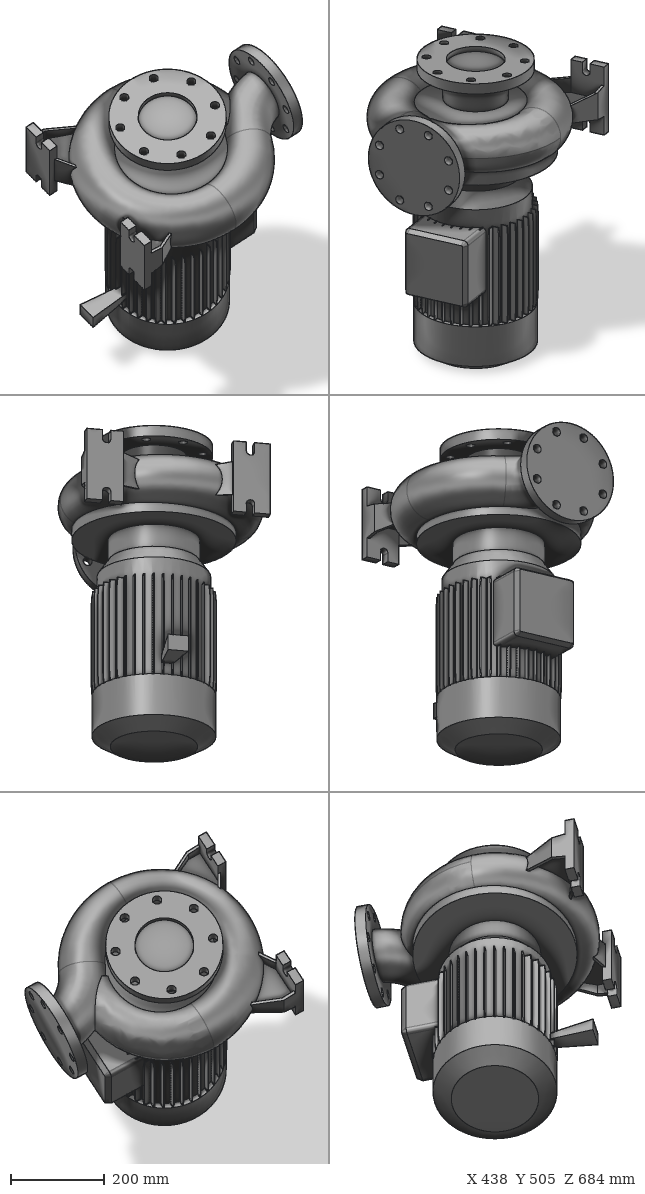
import cadquery as cq
import math


OVERALL_HEIGHT = 684.0

INLET_FACE_Z = 140.0
INLET_FLANGE_DIA = 250.0
INLET_BOLT_CIRCLE = 210.0
INLET_BORE_DIA = 125.0
INLET_BORE_DEPTH = 12.0
INLET_NECK_DIA = 140.0
FLANGE_THICKNESS = 24.0
BOLT_HOLE_DIA = 19.0
BOLT_COUNT = 8

OUTLET_FACE_Y = 280.0
OUTLET_FLANGE_DIA = 220.0
OUTLET_BOLT_CIRCLE = 180.0

TUBE_RADIUS = 57.0
COIL_CENTRE_X = 14.0
COIL_RADIUS = 162.0
TONGUE_TUBE_RADIUS = 47.0
TONGUE_REACH = 198.0
TONGUE_START_ANGLE = 180.0
TONGUE_END_ANGLE = 72.0
TONGUE_SECTIONS = 6

CASING_RADIUS = 175.0
CASING_BOTTOM_Z = -75.0
HUB_TOP_Z = 48.5
HUB_RIM_Z = 28.0

LANTERN_RADIUS = 98.0
LANTERN_BOTTOM_Z = -125.0
MOTOR_CORE_RADIUS = 121.0
CORE_TOP_Z = -158.0
FIN_TOP_Z = -199.0
FIN_BOTTOM_Z = -428.0
COWL_RADIUS = 132.0
COWL_CHAMFER_Z = -521.0
COWL_END_RADIUS = 93.0
MOTOR_BOTTOM_Z = INLET_FACE_Z - OVERALL_HEIGHT

FIN_THICKNESS = 2.0
FIN_CROWN = 1.5
FIN_TAPER_LENGTH = 22.0
FIN_PITCH_ANGLE = 9.0
FINS_PER_HALF_SIDE = 5

BOX_WIDTH = 150.0
BOX_TOP_Z = -200.0
BOX_HEIGHT = 156.0
BOX_OUTER_Y = 188.0
BOX_CORNER_RADIUS = 10.0
BOX_CHAMFER_DEPTH = 12.0
BOX_CHAMFER_INSET = 7.0

LEVER_Z = -389.0
LEVER_TIP_Y = -221.0
LEVER_ROOT_Y = -115.0
LEVER_TIP_SIZE = (44.0, 35.0)
LEVER_ROOT_SIZE = (24.0, 18.0)

FOOT_BOTTOM_Y = -225.0
FOOT_THICKNESS = 20.0
FOOT_OUTER_X = 201.0
FOOT_WIDTH = 80.5
FOOT_HEIGHT = 160.0
SLOT_X = 157.5
SLOT_WIDTH = 18.0
SLOT_DEPTH = 29.0

WALL_THICKNESS = 6.0
BRACKET_BASE_HALF_HEIGHT = 36.5
BRACKET_TAPER = 0.17
BRACKET_END_Y = -90.0
OUTER_WALL_BEND_Y = -176.0
OUTER_WALL_LEAN = 26.0
INNER_WALL_LEAN = 30.0
INNER_WALL_END_X = 60.0


def bolted_flange(plane, diameter, bolt_circle):
    """Flange growing from its outer face along the plane normal."""
    return (
        cq.Workplane(plane)
        .circle(diameter / 2)
        .polarArray(bolt_circle / 2, 180 / BOLT_COUNT, 360, BOLT_COUNT)
        .circle(BOLT_HOLE_DIA / 2)
        .extrude(FLANGE_THICKNESS)
    )


def inlet_flange():
    face = cq.Plane(origin=(0, 0, INLET_FACE_Z), xDir=(1, 0, 0), normal=(0, 0, -1))
    return bolted_flange(face, INLET_FLANGE_DIA, INLET_BOLT_CIRCLE)


def inlet_bore():
    floor_z = INLET_FACE_Z - INLET_BORE_DEPTH
    return cq.Workplane("XY", origin=(0, 0, floor_z)).circle(INLET_BORE_DIA / 2).extrude(INLET_BORE_DEPTH)


def outlet_flange():
    face = cq.Plane(origin=(0, OUTLET_FACE_Y, 0), xDir=(1, 0, 0), normal=(0, -1, 0))
    return bolted_flange(face, OUTLET_FLANGE_DIA, OUTLET_BOLT_CIRCLE)


def turned_body():
    """Neck, casing, lantern, motor core and cowl as one turned solid."""
    neck_radius = INLET_NECK_DIA / 2
    neck_top_z = INLET_FACE_Z - FLANGE_THICKNESS
    profile = [
        (0, neck_top_z),
        (neck_radius, neck_top_z),
        (neck_radius, HUB_TOP_Z),
        (CASING_RADIUS, HUB_RIM_Z),
        (CASING_RADIUS, CASING_BOTTOM_Z),
        (LANTERN_RADIUS, CASING_BOTTOM_Z),
        (LANTERN_RADIUS, LANTERN_BOTTOM_Z),
        (MOTOR_CORE_RADIUS, CORE_TOP_Z),
        (MOTOR_CORE_RADIUS, FIN_BOTTOM_Z),
        (COWL_RADIUS, FIN_BOTTOM_Z),
        (COWL_RADIUS, COWL_CHAMFER_Z),
        (COWL_END_RADIUS, MOTOR_BOTTOM_Z),
        (0, MOTOR_BOTTOM_Z),
    ]
    return cq.Workplane("XZ").polyline(profile).close().revolve(360, (0, 0), (0, 1))


def coil_point(angle):
    return (
        COIL_CENTRE_X + COIL_RADIUS * math.cos(angle),
        COIL_RADIUS * math.sin(angle),
    )


def volute_tube():
    """Constant tube: round the coil, then a reverse bend that meets the discharge flange squarely."""
    reach_difference = OUTLET_FACE_Y**2 + COIL_CENTRE_X**2 - COIL_RADIUS**2
    bend_radius = reach_difference / (2 * (COIL_RADIUS + COIL_CENTRE_X))
    bend_angle = math.asin(OUTLET_FACE_Y / (COIL_RADIUS + bend_radius))
    mid_direction = math.pi + bend_angle / 2
    bend_mid_point = (
        bend_radius + bend_radius * math.cos(mid_direction),
        OUTLET_FACE_Y + bend_radius * math.sin(mid_direction),
    )
    start = coil_point(math.pi)
    path = (
        cq.Workplane("XY")
        .moveTo(*start)
        .threePointArc(coil_point(1.5 * math.pi), coil_point(0))
        .threePointArc(coil_point(bend_angle / 2), coil_point(bend_angle))
        .threePointArc(bend_mid_point, (0, OUTLET_FACE_Y))
    )
    return cq.Workplane("XZ", origin=(start[0], start[1], 0)).circle(TUBE_RADIUS).sweep(path)


def volute_tongue():
    """Narrowing tube from the start of the coil round to the discharge bend."""
    start_reach = COIL_RADIUS + TUBE_RADIUS - COIL_CENTRE_X
    sections = []
    for index in range(TONGUE_SECTIONS):
        share = index / (TONGUE_SECTIONS - 1)
        angle = math.radians(TONGUE_START_ANGLE + share * (TONGUE_END_ANGLE - TONGUE_START_ANGLE))
        radius = TUBE_RADIUS + share * (TONGUE_TUBE_RADIUS - TUBE_RADIUS)
        centre_reach = start_reach + share * (TONGUE_REACH - start_reach) - radius
        centre = cq.Vector(centre_reach * math.cos(angle), centre_reach * math.sin(angle), 0)
        heading = cq.Vector(math.sin(angle), -math.cos(angle), 0)
        sections.append(cq.Wire.makeCircle(radius, centre, heading))
    return cq.Workplane(cq.Solid.makeLoft(sections))


def cooling_fins():
    """Parallel fins on four sides, tapering slightly at both ends."""
    height = FIN_TOP_Z - FIN_BOTTOM_Z
    crown_radius = COWL_RADIUS + FIN_CROWN
    profile = [
        (0, FIN_BOTTOM_Z),
        (COWL_RADIUS, FIN_BOTTOM_Z),
        (crown_radius, FIN_BOTTOM_Z + FIN_TAPER_LENGTH),
        (crown_radius, FIN_TOP_Z - FIN_TAPER_LENGTH),
        (COWL_RADIUS, FIN_TOP_Z),
        (0, FIN_TOP_Z),
    ]
    envelope = cq.Workplane("XZ").polyline(profile).close().revolve(360, (0, 0), (0, 1))
    offsets = []
    for index in range(FINS_PER_HALF_SIDE):
        offset = COWL_RADIUS * math.sin(math.radians((index + 0.5) * FIN_PITCH_ANGLE))
        offsets += [offset, -offset]
    base = cq.Workplane("XY", origin=(0, 0, FIN_BOTTOM_Z))
    along_y = base.pushPoints([(x, 0) for x in offsets]).rect(FIN_THICKNESS, 2 * crown_radius).extrude(height)
    along_x = base.pushPoints([(0, y) for y in offsets]).rect(2 * crown_radius, FIN_THICKNESS).extrude(height)
    return along_y.union(along_x).intersect(envelope)


def terminal_box():
    return (
        cq.Workplane("XY")
        .box(BOX_WIDTH, BOX_OUTER_Y, BOX_HEIGHT, centered=(True, False, False))
        .translate((0, 0, BOX_TOP_Z - BOX_HEIGHT))
        .edges("|Y")
        .fillet(BOX_CORNER_RADIUS)
        .faces(">Y")
        .chamfer(BOX_CHAMFER_INSET, BOX_CHAMFER_DEPTH)
    )


def lever():
    return (
        cq.Workplane("XZ", origin=(0, LEVER_ROOT_Y, LEVER_Z))
        .rect(*LEVER_ROOT_SIZE)
        .workplane(offset=LEVER_ROOT_Y - LEVER_TIP_Y)
        .rect(*LEVER_TIP_SIZE)
        .loft(ruled=True)
    )


def foot_plate():
    """Right-hand foot with a mounting slot open at its top and bottom ends."""
    inner_x = FOOT_OUTER_X - FOOT_WIDTH
    plate = (
        cq.Workplane("XY")
        .box(FOOT_WIDTH, FOOT_THICKNESS, FOOT_HEIGHT, centered=(False, False, True))
        .translate((inner_x, FOOT_BOTTOM_Y, 0))
    )
    slots = (
        cq.Workplane("XZ", origin=(0, FOOT_BOTTOM_Y, 0))
        .pushPoints([(SLOT_X, FOOT_HEIGHT / 2), (SLOT_X, -FOOT_HEIGHT / 2)])
        .slot2D(2 * SLOT_DEPTH, SLOT_WIDTH, 90)
        .extrude(-FOOT_THICKNESS)
    )
    return plate.cut(slots)


def bracket():
    """Right-hand bracket: two upright walls joined by a web, lower towards the volute."""
    base_y = FOOT_BOTTOM_Y + FOOT_THICKNESS
    inner_x = FOOT_OUTER_X - FOOT_WIDTH
    outer_lean = math.tan(math.radians(OUTER_WALL_LEAN))
    inner_lean = math.tan(math.radians(INNER_WALL_LEAN))
    outer_end_x = FOOT_OUTER_X - (BRACKET_END_Y - OUTER_WALL_BEND_Y) * outer_lean
    inner_end_y = base_y + (inner_x - INNER_WALL_END_X) * inner_lean
    slant_width = WALL_THICKNESS / math.cos(math.radians(OUTER_WALL_LEAN))
    inner_drop = WALL_THICKNESS / math.cos(math.radians(INNER_WALL_LEAN))

    outer_wall = [
        (FOOT_OUTER_X, base_y),
        (FOOT_OUTER_X, OUTER_WALL_BEND_Y),
        (outer_end_x, BRACKET_END_Y),
        (outer_end_x - slant_width, BRACKET_END_Y),
        (FOOT_OUTER_X - slant_width, OUTER_WALL_BEND_Y),
        (FOOT_OUTER_X - slant_width, base_y),
    ]
    inner_wall = [
        (inner_x, base_y),
        (INNER_WALL_END_X, inner_end_y),
        (INNER_WALL_END_X, inner_end_y - inner_drop),
        (inner_x, base_y - inner_drop),
    ]
    web = [
        (FOOT_OUTER_X, base_y),
        (FOOT_OUTER_X, OUTER_WALL_BEND_Y),
        (outer_end_x, BRACKET_END_Y),
        (INNER_WALL_END_X, inner_end_y),
        (inner_x, base_y),
    ]
    plan = cq.Workplane("XY")
    rough_half_height = 2 * BRACKET_BASE_HALF_HEIGHT
    walls = plan.polyline(outer_wall).close().extrude(rough_half_height, both=True)
    walls = walls.union(plan.polyline(inner_wall).close().extrude(rough_half_height, both=True))

    def half_height(y):
        return BRACKET_BASE_HALF_HEIGHT - BRACKET_TAPER * (y - base_y)

    side_outline = [
        (FOOT_BOTTOM_Y, half_height(FOOT_BOTTOM_Y)),
        (BRACKET_END_Y, half_height(BRACKET_END_Y)),
        (BRACKET_END_Y, -half_height(BRACKET_END_Y)),
        (FOOT_BOTTOM_Y, -half_height(FOOT_BOTTOM_Y)),
    ]
    side_envelope = cq.Workplane("YZ").polyline(side_outline).close().extrude(FOOT_OUTER_X)
    web_plate = plan.polyline(web).close().extrude(WALL_THICKNESS / 2, both=True)
    return walls.intersect(side_envelope).union(web_plate)


right_foot = foot_plate().union(bracket())

result = turned_body()
for piece in (
    volute_tube(),
    volute_tongue(),
    inlet_flange(),
    outlet_flange(),
    cooling_fins(),
    terminal_box(),
    lever(),
    right_foot,
    right_foot.mirror("YZ"),
):
    result = result.union(piece)
result = result.cut(inlet_bore())